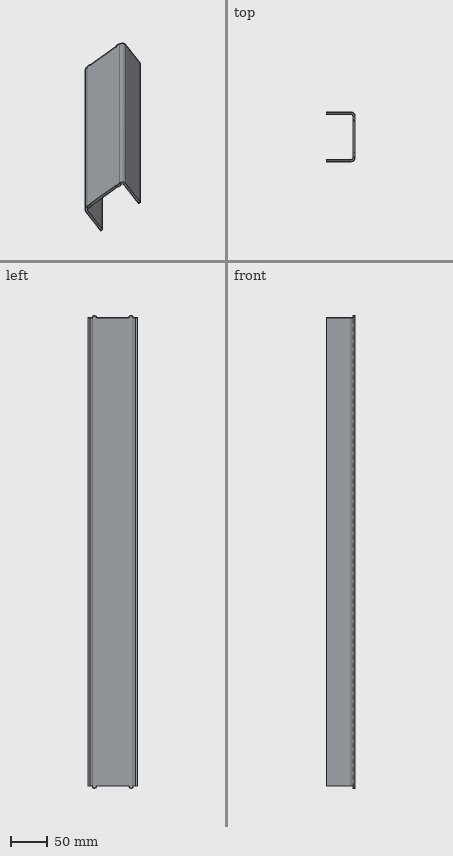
import cadquery as cq

depth = 40.0
width = 69.0
length = 656.0

thickness = 3.0
outer_bend_radius = 2 * thickness
inner_bend_radius = outer_bend_radius - thickness

lug_radius = 3.0
lug_offset = width / 2 - outer_bend_radius - lug_radius
body_length = length - 2 * lug_radius

web_outer_x = depth / 2
web_inner_x = web_outer_x - thickness


def centred_block(x_min, x_max, y_size):
    """Block over the body length, centred on Y and Z."""
    block = cq.Workplane("XY").box(x_max - x_min, y_size, body_length)
    return block.translate(((x_min + x_max) / 2, 0, 0))


def make_channel():
    """U channel with its open side toward -X."""
    outer = centred_block(-depth / 2, web_outer_x, width)
    outer = outer.edges("|Z and >X").fillet(outer_bend_radius)
    inner = centred_block(-depth / 2, web_inner_x, width - 2 * thickness)
    inner = inner.edges("|Z and >X").fillet(inner_bend_radius)
    return outer.cut(inner)


def make_lugs():
    """Discs through the web whose outer halves stand out from the ends."""
    centres = [(y, z) for y in (-lug_offset, lug_offset) for z in (-body_length / 2, body_length / 2)]
    web_plane = cq.Workplane("YZ", origin=(web_inner_x, 0, 0))
    return web_plane.pushPoints(centres).circle(lug_radius).extrude(thickness)


result = make_channel().union(make_lugs())